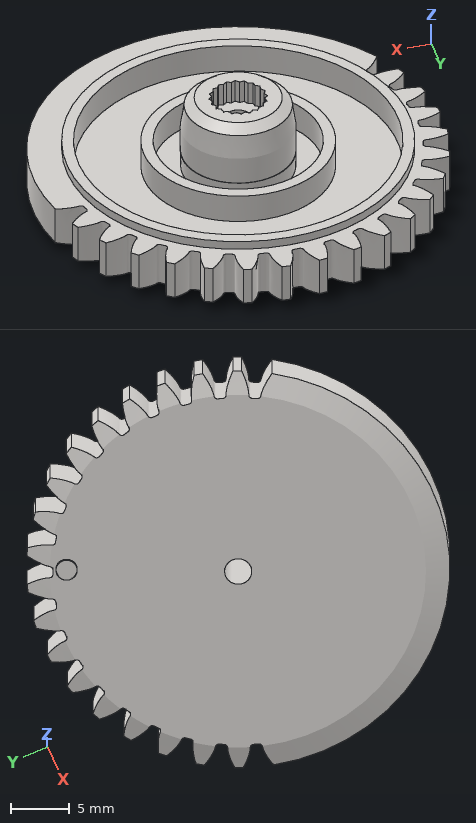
import cadquery as cq
import math

outer_radius = 18.0
tooth_count = 34
pressure_angle = math.radians(20)
addendum_modules = 1.0
dedendum_modules = 1.25
root_fillet = 0.3
first_gap_angle = 19.4
gap_count = 19

floor_height = 2.15
gear_height = 4.0
rim_height = 4.8
boss_step_height = 3.78
boss_cylinder_height = 6.3
boss_taper_height = 8.5
boss_height = 9.25

chamfer_width = 2.0
chamfer_height = 0.5

rim_outer_radius = 15.0
rim_inner_radius = 14.0
ring_outer_radius = 8.28
ring_inner_radius = 7.25
boss_foot_radius = 4.9
boss_radius = 4.95
boss_taper_radius = 4.6
boss_top_radius = 3.75

bore_radius = 1.15
socket_depth = 2.12
serration_count = 20
serration_outer_radius = 2.5
serration_inner_radius = 2.25

pin_radius = 0.9
pin_length = 0.25
pin_x = -6.35
pin_y = 13.15

gear_module = outer_radius / (tooth_count / 2 + addendum_modules)
pitch_radius = gear_module * tooth_count / 2
root_radius = pitch_radius - dedendum_modules * gear_module
base_radius = pitch_radius * math.cos(pressure_angle)
gap_pitch = 360 / tooth_count


def polar(radius, angle):
    return (radius * math.cos(angle), radius * math.sin(angle))


def involute(angle):
    return math.tan(angle) - angle


def gap_half_angle(radius):
    """Half the angle spanned by a tooth gap where the involute has this radius."""
    at_pitch = math.pi / (2 * tooth_count)
    return at_pitch + involute(math.acos(base_radius / radius)) - involute(pressure_angle)


def tooth_gap():
    """Cutter for one gap, centred on +X and reaching just past the tooth tips."""
    clearance = 0.18
    flank_steps = 6
    radius_step = (outer_radius + clearance - base_radius) / flank_steps
    radii = [base_radius + i * radius_step for i in range(flank_steps + 1)]
    upper_flank = [polar(r, gap_half_angle(r)) for r in radii]
    lower_flank = [(x, -y) for x, y in upper_flank]
    base_angle = gap_half_angle(base_radius)
    cutter = (
        cq.Workplane("XY")
        .moveTo(*polar(root_radius, -base_angle))
        .threePointArc((root_radius, 0), polar(root_radius, base_angle))
        .lineTo(*upper_flank[0])
        .spline(upper_flank[1:], includeCurrent=True)
        .lineTo(*lower_flank[-1])
        .spline(lower_flank[-2::-1], includeCurrent=True)
        .close()
        .extrude(gear_height)
    )
    return cutter.edges("|Z and <X").fillet(root_fillet)


def turned_body():
    """Gear blank, floor, rim, ring and boss as one revolved profile."""
    profile = [
        (0, 0),
        (outer_radius - chamfer_width, 0),
        (outer_radius, chamfer_height),
        (outer_radius, gear_height),
        (rim_outer_radius, gear_height),
        (rim_outer_radius, rim_height),
        (rim_inner_radius, rim_height),
        (rim_inner_radius, floor_height),
        (ring_outer_radius, floor_height),
        (ring_outer_radius, rim_height),
        (ring_inner_radius, rim_height),
        (ring_inner_radius, floor_height),
        (boss_foot_radius, floor_height),
        (boss_foot_radius, boss_step_height),
        (boss_radius, boss_step_height),
        (boss_radius, boss_cylinder_height),
        (boss_taper_radius, boss_taper_height),
        (boss_top_radius, boss_height),
        (0, boss_height),
    ]
    return cq.Workplane("XZ").polyline(profile).close().revolve(360, (0, 0), (0, 1))


def serrated_socket():
    """Cutter for the socket: V grooves placed evenly either side of +Y."""
    half_pitch = math.pi / serration_count
    points = []
    for i in range(serration_count):
        ridge_angle = math.pi / 2 + 2 * i * half_pitch
        points.append(polar(serration_inner_radius, ridge_angle))
        points.append(polar(serration_outer_radius, ridge_angle + half_pitch))
    socket_floor = boss_height - socket_depth
    base = cq.Workplane("XY").workplane(offset=socket_floor)
    return base.polyline(points).close().extrude(socket_depth)


body = turned_body()

gap = tooth_gap()
for i in range(gap_count):
    body = body.cut(gap.rotate((0, 0, 0), (0, 0, 1), first_gap_angle + i * gap_pitch))

body = body.cut(serrated_socket())
bore = cq.Workplane("XY").circle(bore_radius).extrude(boss_height)
body = body.cut(bore)

pin = cq.Workplane("XY").center(pin_x, pin_y).circle(pin_radius).extrude(-pin_length)
result = body.union(pin)